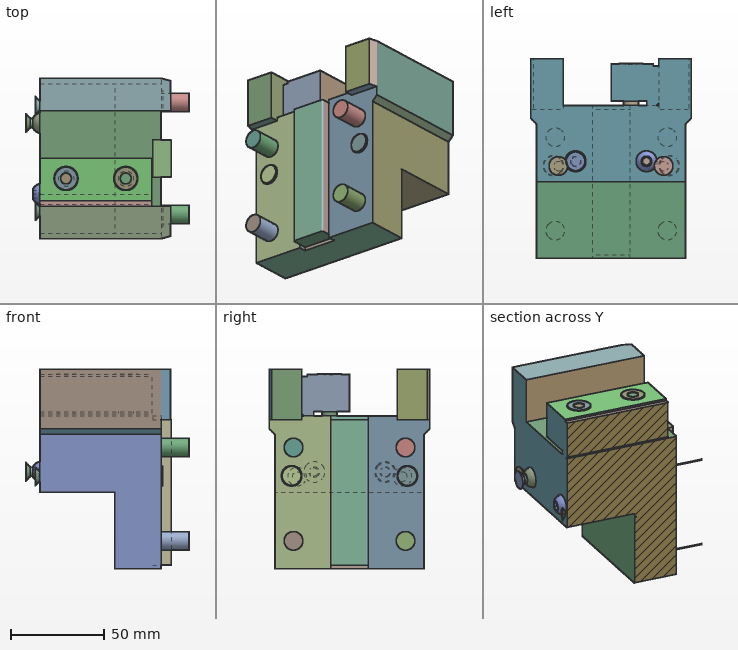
import cadquery as cq
import math


BODY_DEPTH = 65.0
BODY_HALF_WIDTH = 40.0
ARM_HALF_WIDTH = 43.0
CHANNEL_HALF_WIDTH = 25.5
CHANNEL_FLOOR = 82.0
TOP = 107.0
ARM_BASE = 75.0
STEP_DEPTH = 40.0
STEP_HEIGHT = 41.0

EXTENSION_LENGTH = 5.0
EXTENSION_BASE = 80.0
EXTENSION_DRAFT = 15.0

KEY_WIDTH = 20.0
KEY_FRONT = 60.5
KEY_BACK = 70.5
KEY_BASE = 2.0
KEY_TOP = 80.0
KEY_EDGE_RADIUS = 0.8

PIN_DIAMETER = 10.0
PIN_TIP = 80.0
PIN_Y = 30.0
PIN_HEIGHTS = (15.0, 65.0)

CLAMP_LENGTH = 60.0
CLAMP_TOP = 104.2
CLAMP_LEDGE_WIDTH = 2.8
CLAMP_LEDGE_TOP = 103.1
CLAMP_UNDERSIDE = 84.2
CLAMP_FOOT_WIDTH = 6.4
CLAMP_FOOT_CHAMFER = 1.0

CLAMP_SCREW_Y = -10.7
CLAMP_SCREW_XS = (14.0, 46.0)
CLAMP_SCREW_SHANK = 8.2
CLAMP_SCREW_HEAD = 12.9
CLAMP_SCREW_HEAD_TOP = 104.6
CLAMP_SCREW_HEAD_CHAMFER = 0.35
CLAMP_SCREW_SOCKET = 5.9
CLAMP_SCREW_SOCKET_DEPTH = 0.5

BUTTON_Y = 19.0
BUTTON_Z = 52.0
BUTTON_BASE_RADIUS = 5.6
BUTTON_TIP_RADIUS = 2.8
BUTTON_HEIGHT = 3.7
BUTTON_SOCKET = 4.0
BUTTON_SOCKET_DEPTH = 3.0
FLAT_HEAD_RADIUS = 5.0
FLAT_SHANK_RADIUS = 2.5
FLAT_HEAD_HEIGHT = FLAT_HEAD_RADIUS - FLAT_SHANK_RADIUS
STACKED_SCREW_TIP = -7.55
OUTER_SCREW_TIP = -2.45
OUTER_SCREW_Y = 28.2
OUTER_SCREW_Z = 49.5
REAR_HEAD_Y = 31.0
REAR_HEAD_Z = 49.8
REAR_HEAD_HEIGHT = 0.9
REAR_HEAD_BASE_RADIUS = 5.5
REAR_HEAD_TIP_RADIUS = 5.1
EMBED = 1.0


def box(x_range, y_range, z_range):
    """Box spanning the given (low, high) ranges."""
    sizes = [high - low for low, high in (x_range, y_range, z_range)]
    corner = (x_range[0], y_range[0], z_range[0])
    return cq.Workplane("XY").box(*sizes, centered=False).translate(corner)


def make_body():
    flare_base = ARM_BASE - (ARM_HALF_WIDTH - BODY_HALF_WIDTH)
    body = (
        cq.Workplane("YZ")
        .moveTo(0, 0)
        .lineTo(BODY_HALF_WIDTH, 0)
        .lineTo(BODY_HALF_WIDTH, flare_base)
        .lineTo(ARM_HALF_WIDTH, ARM_BASE)
        .lineTo(ARM_HALF_WIDTH, TOP)
        .lineTo(CHANNEL_HALF_WIDTH, TOP)
        .lineTo(CHANNEL_HALF_WIDTH, CHANNEL_FLOOR)
        .lineTo(0, CHANNEL_FLOOR)
        .mirrorY()
        .extrude(BODY_DEPTH)
    )
    step = box((0, STEP_DEPTH), (-BODY_HALF_WIDTH, BODY_HALF_WIDTH), (0, STEP_HEIGHT))
    keyway = box((KEY_FRONT, BODY_DEPTH), (-KEY_WIDTH / 2, KEY_WIDTH / 2), (0, CHANNEL_FLOOR))
    return body.cut(step).cut(keyway)


def make_arm_extension():
    """Tapered extension behind the +Y arm."""
    back = BODY_DEPTH + EXTENSION_LENGTH
    taper = EXTENSION_LENGTH * math.tan(math.radians(EXTENSION_DRAFT))
    outline = [
        (BODY_DEPTH, CHANNEL_HALF_WIDTH),
        (back, CHANNEL_HALF_WIDTH),
        (back, ARM_HALF_WIDTH - taper),
        (BODY_DEPTH, ARM_HALF_WIDTH),
    ]
    plane = cq.Workplane("XY", origin=(0, 0, EXTENSION_BASE))
    return plane.polyline(outline).close().extrude(TOP - EXTENSION_BASE)


def make_key():
    key = box((KEY_FRONT, KEY_BACK), (-KEY_WIDTH / 2, KEY_WIDTH / 2), (KEY_BASE, KEY_TOP))
    return key.edges("|Z and >X").fillet(KEY_EDGE_RADIUS)


def make_pin(y, z):
    plane = cq.Workplane("YZ", origin=(BODY_DEPTH - EMBED, y, z))
    return plane.circle(PIN_DIAMETER / 2).extrude(PIN_TIP - BODY_DEPTH + EMBED)


def make_clamp():
    """Clamp bar resting on its foot in the corner of the -Y arm."""
    wall = -CHANNEL_HALF_WIDTH
    foot_edge = wall + CLAMP_FOOT_WIDTH
    ledge_edge = wall + CLAMP_LEDGE_WIDTH
    outline = [
        (0, CLAMP_UNDERSIDE),
        (0, CLAMP_TOP),
        (ledge_edge, CLAMP_TOP),
        (ledge_edge, CLAMP_LEDGE_TOP),
        (wall, CLAMP_LEDGE_TOP),
        (wall, CHANNEL_FLOOR + CLAMP_FOOT_CHAMFER),
        (wall + CLAMP_FOOT_CHAMFER, CHANNEL_FLOOR),
        (foot_edge, CHANNEL_FLOOR),
        (foot_edge, CLAMP_UNDERSIDE),
    ]
    return cq.Workplane("YZ").polyline(outline).close().extrude(CLAMP_LENGTH)


def add_clamp_screw(part, x):
    """Screw through the clamp bar, its chamfered head just proud of the top."""
    shank = (
        cq.Workplane("XY", origin=(x, CLAMP_SCREW_Y, CHANNEL_FLOOR - EMBED))
        .circle(CLAMP_SCREW_SHANK / 2)
        .extrude(CLAMP_UNDERSIDE - CHANNEL_FLOOR + 2 * EMBED)
    )
    head_base = CLAMP_TOP - EMBED
    head = (
        cq.Workplane("XY", origin=(x, CLAMP_SCREW_Y, head_base))
        .circle(CLAMP_SCREW_HEAD / 2)
        .extrude(CLAMP_SCREW_HEAD_TOP - head_base)
        .faces(">Z")
        .chamfer(CLAMP_SCREW_HEAD_CHAMFER)
    )
    socket = (
        cq.Workplane("XY", origin=(x, CLAMP_SCREW_Y, CLAMP_SCREW_HEAD_TOP))
        .circle(CLAMP_SCREW_SOCKET / 2)
        .extrude(-CLAMP_SCREW_SOCKET_DEPTH)
    )
    return part.union(shank).union(head).cut(socket)


def revolve_about_x(profile, y, z):
    """Turn an (x, radius) profile, closed on its axis, about the X line at (y, z)."""
    turned = profile.close().revolve(360, (0, 0, 0), (1, 0, 0))
    return turned.translate((0, y, z))


def make_button_head(y):
    """Domed head on the front face; the dome is part of a sphere."""
    centre_offset = (
        BUTTON_BASE_RADIUS**2 - BUTTON_TIP_RADIUS**2 - BUTTON_HEIGHT**2
    ) / (2 * BUTTON_HEIGHT)
    sphere_radius = math.hypot(BUTTON_BASE_RADIUS, centre_offset)
    middle = BUTTON_HEIGHT / 2
    middle_radius = math.sqrt(sphere_radius**2 - (middle + centre_offset) ** 2)
    profile = (
        cq.Workplane("XY")
        .moveTo(EMBED, 0)
        .lineTo(EMBED, BUTTON_BASE_RADIUS)
        .lineTo(0, BUTTON_BASE_RADIUS)
        .threePointArc((-middle, middle_radius), (-BUTTON_HEIGHT, BUTTON_TIP_RADIUS))
        .lineTo(-BUTTON_HEIGHT, 0)
    )
    return revolve_about_x(profile, y, BUTTON_Z)


def make_button_socket(y):
    """Hexagonal socket with corners pointing up and down."""
    across_corners = BUTTON_SOCKET / math.cos(math.radians(30))
    return (
        cq.Workplane("YZ", origin=(-BUTTON_HEIGHT, y, BUTTON_Z))
        .transformed(rotate=(0, 0, 90))
        .polygon(6, across_corners)
        .extrude(BUTTON_SOCKET_DEPTH)
    )


def make_flat_head_screw(tip, y, z):
    """Countersunk head with its wide end forward and its shank in the body."""
    profile = cq.Workplane("XY").polyline([
        (tip, 0),
        (tip, FLAT_HEAD_RADIUS),
        (tip + FLAT_HEAD_HEIGHT, FLAT_SHANK_RADIUS),
        (EMBED, FLAT_SHANK_RADIUS),
        (EMBED, 0),
    ])
    return revolve_about_x(profile, y, z)


def make_rear_head(y):
    """Low screw head on the rear face."""
    profile = cq.Workplane("XY").polyline([
        (BODY_DEPTH - EMBED, 0),
        (BODY_DEPTH - EMBED, REAR_HEAD_BASE_RADIUS),
        (BODY_DEPTH, REAR_HEAD_BASE_RADIUS),
        (BODY_DEPTH + REAR_HEAD_HEIGHT, REAR_HEAD_TIP_RADIUS),
        (BODY_DEPTH + REAR_HEAD_HEIGHT, 0),
    ])
    return revolve_about_x(profile, y, REAR_HEAD_Z)


result = make_body().union(make_key())
result = result.union(make_clamp())
for screw_x in CLAMP_SCREW_XS:
    result = add_clamp_screw(result, screw_x)

extension = make_arm_extension()
result = result.union(extension).union(extension.mirror("XZ"))

for side in (-1, 1):
    for pin_z in PIN_HEIGHTS:
        result = result.union(make_pin(side * PIN_Y, pin_z))
    result = result.union(make_button_head(side * BUTTON_Y))
    result = result.cut(make_button_socket(side * BUTTON_Y))
    result = result.union(make_flat_head_screw(OUTER_SCREW_TIP, side * OUTER_SCREW_Y, OUTER_SCREW_Z))
    result = result.union(make_rear_head(side * REAR_HEAD_Y))

result = result.union(make_flat_head_screw(STACKED_SCREW_TIP, BUTTON_Y, BUTTON_Z))